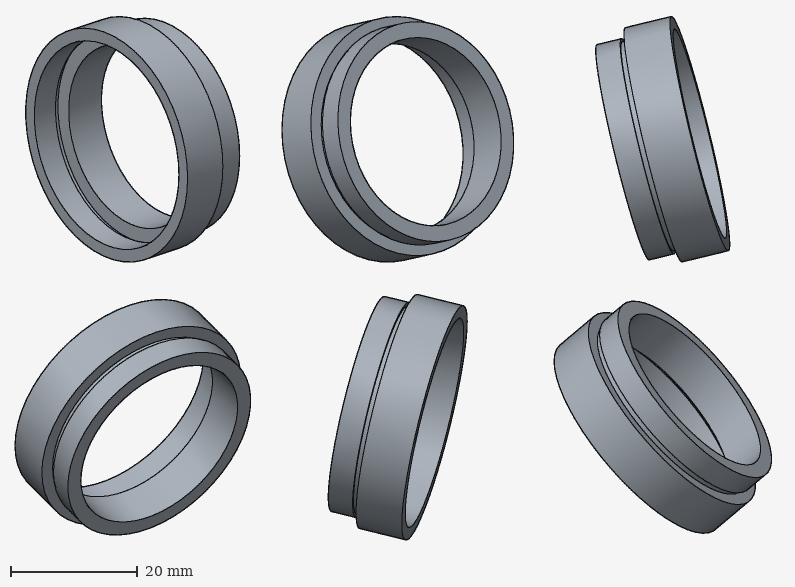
import cadquery as cq

collar_diameter = 38.1
spigot_diameter = 35.0
neck_diameter = 34.0
bore_diameter = 30.0
socket_diameter = 34.0

collar_length = 7.5
neck_length = 1.0
spigot_length = 4.0
socket_land_length = 4.5
undercut_length = 1.0
undercut_diameter = 35.0

total_length = collar_length + neck_length + spigot_length
front_y = -total_length / 2


def cylinder(diameter, start, length):
    """Solid cylinder along +Y, starting at a distance behind the front face."""
    base = cq.Workplane("XZ", origin=(0, front_y + start, 0))
    return base.circle(diameter / 2).extrude(-length)


collar = cylinder(collar_diameter, 0, collar_length)
neck = cylinder(neck_diameter, collar_length, neck_length)
spigot = cylinder(spigot_diameter, collar_length + neck_length, spigot_length)
body = collar.union(neck).union(spigot)

bore = cylinder(bore_diameter, 0, total_length)
socket = cylinder(socket_diameter, 0, socket_land_length)
undercut = cylinder(undercut_diameter, socket_land_length, undercut_length)
result = body.cut(bore).cut(socket).cut(undercut)